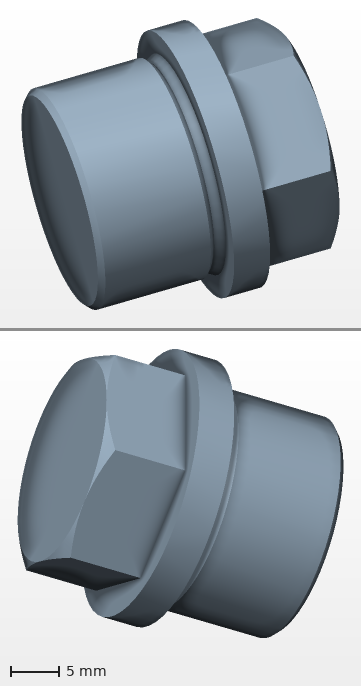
import cadquery as cq
import math

total_length = 27.0
flange_diameter = 29.0
flange_thickness = 4.0
head_length = 9.02
head_across_flats = 22.0
head_chamfer_angle = 30.0

shank_diameter = 24.0
shank_chamfer = 0.6
groove_diameter = 22.8
groove_width = 1.05

flange_end = total_length - head_length
flange_start = flange_end - flange_thickness
groove_start = flange_start - groove_width

flange_radius = flange_diameter / 2
shank_radius = shank_diameter / 2
groove_radius = groove_diameter / 2
head_across_corners = head_across_flats / math.cos(math.radians(30))


def make_shank_and_flange():
    """Revolved shank, V-shaped relief groove and flange."""
    groove_flank = shank_radius - groove_radius
    profile = (
        cq.Workplane("XY")
        .moveTo(0, 0)
        .lineTo(shank_radius - shank_chamfer, 0)
        .lineTo(shank_radius, shank_chamfer)
        .lineTo(shank_radius, groove_start - groove_flank)
        .lineTo(groove_radius, groove_start)
        .lineTo(shank_radius, flange_start)
        .lineTo(flange_radius, flange_start)
        .lineTo(flange_radius, flange_end)
        .lineTo(0, flange_end)
        .close()
    )
    return profile.revolve(360, (0, 0, 0), (0, 1, 0))


def make_head():
    """Hexagon with corners on the Z axis, its outer corners cut by a cone."""
    hexagon = (
        cq.Workplane("XZ", origin=(0, flange_end, 0))
        .polygon(6, head_across_corners)
        .extrude(-head_length)
        .rotate((0, 0, 0), (0, 1, 0), 90)
    )
    end_radius = head_across_flats / 2
    cone_drop = (flange_radius - end_radius) * math.tan(math.radians(head_chamfer_angle))
    envelope = (
        cq.Workplane("XY")
        .moveTo(0, flange_end)
        .lineTo(flange_radius, flange_end)
        .lineTo(flange_radius, total_length - cone_drop)
        .lineTo(end_radius, total_length)
        .lineTo(0, total_length)
        .close()
        .revolve(360, (0, 0, 0), (0, 1, 0))
    )
    return hexagon.intersect(envelope)


plug = make_shank_and_flange().union(make_head())
result = plug.translate((0, -total_length / 2, 0))